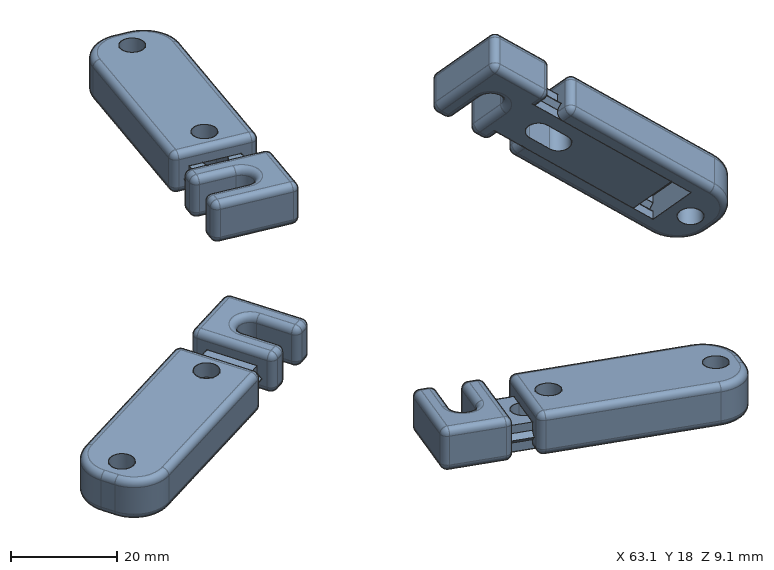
import cadquery as cq

width = 18.0
height = 9.1
edge_radius = 1.45

total_length = 63.15
housing_length = 43.95
travel = 5.0
hook_start = housing_length + travel
hook_length = total_length - hook_start

end_corner_radius = 7.5
hole_diameter = 5.05
end_hole_x = 5.5
lock_hole_x = 38.9

mouth_width = 5.05
mouth_x = hook_start + hook_length / 2

tongue_start = 15.15
tongue_width = 10.8
tongue_height = 5.75
ridge_depth = 1.0
ridge_center_z = 2.95


def block(start, length):
    """Plain block of the common width and height, standing on Z = 0."""
    return cq.Workplane("XY").box(length, width, height, centered=(False, True, False)).translate((start, 0, 0))


def tongue_bar(start, end):
    """Bar with a 45 degree ridge on each side, between two X positions."""
    side = tongue_width / 2
    tip = side + ridge_depth
    ridge_bottom = ridge_center_z - ridge_depth
    ridge_top = ridge_center_z + ridge_depth
    return (
        cq.Workplane("YZ", origin=(start, 0, 0))
        .moveTo(-side, 0)
        .lineTo(side, 0)
        .lineTo(side, ridge_bottom)
        .lineTo(tip, ridge_center_z)
        .lineTo(side, ridge_top)
        .lineTo(side, tongue_height)
        .lineTo(-side, tongue_height)
        .lineTo(-side, ridge_top)
        .lineTo(-tip, ridge_center_z)
        .lineTo(-side, ridge_bottom)
        .close()
        .extrude(end - start)
    )


def make_housing():
    """Rounded housing with two through holes and a channel open below and at the +X end."""
    body = block(0, housing_length)
    body = body.edges("|Z and <X").fillet(end_corner_radius)
    body = body.edges("|Z and >X").fillet(edge_radius)
    body = body.faces("<Z or >Z").edges().fillet(edge_radius)

    body = body.cut(tongue_bar(tongue_start - travel, housing_length))

    holes = (
        cq.Workplane("XY")
        .pushPoints([(end_hole_x, 0), (lock_hole_x, 0)])
        .circle(hole_diameter / 2)
        .extrude(height)
    )
    return body.cut(holes)


def make_hook():
    """Hook block with a round-ended mouth, carried on a slotted tongue."""
    mouth = cq.Workplane("XY").center(mouth_x, 0).circle(mouth_width / 2).extrude(height)
    mouth = mouth.union(
        cq.Workplane("XY")
        .center(mouth_x, -width / 4)
        .rect(mouth_width, width / 2)
        .extrude(height)
    )
    head = block(hook_start, hook_length).cut(mouth)

    head = head.edges("|Z and (<Y or >Y)").fillet(edge_radius)
    head = head.faces("<Z or >Z").edges().fillet(edge_radius)

    tongue = tongue_bar(tongue_start, hook_start + edge_radius)

    lock_slot = (
        cq.Workplane("XY")
        .center(lock_hole_x + travel / 2, 0)
        .slot2D(travel + hole_diameter, hole_diameter)
        .extrude(tongue_height)
    )
    return head.union(tongue.cut(lock_slot))


housing = make_housing()
hook = make_hook()

result = cq.Compound.makeCompound([housing.solids().val(), hook.solids().val()])